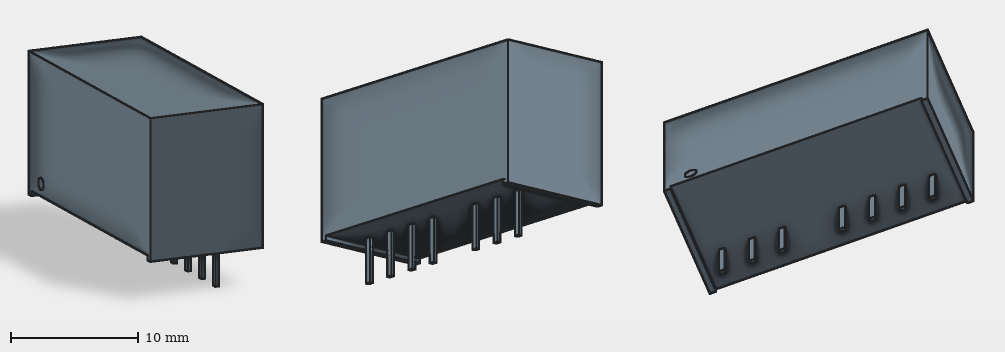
import cadquery as cq

LENGTH = 22.3
WIDTH = 9.8
HOUSING_HEIGHT = 11.7
FOOT_WIDTH = 0.54
FOOT_HEIGHT = 0.4

TOTAL_HEIGHT = 15.0
PIN_PITCH = 2.55
PIN_PLACES = 8
EMPTY_PLACE = 3
PIN_WIDTH = 0.5
PIN_THICKNESS = 0.3
PIN_ROW_Y = 1.87
PIN_DROP = TOTAL_HEIGHT - HOUSING_HEIGHT

MARKER_RADIUS = 0.5
MARKER_HEIGHT = 1.4
MARKER_DEPTH = 0.11

FIRST_PIN_X = -PIN_PITCH * (PIN_PLACES - 1) / 2


def make_marker():
    """Disc set into the front face, which is the plane y = -WIDTH / 2."""
    return (
        cq.Workplane("XZ", origin=(FIRST_PIN_X, -WIDTH / 2, MARKER_HEIGHT))
        .circle(MARKER_RADIUS)
        .extrude(-MARKER_DEPTH)
    )


def make_housing(marker):
    """Block with its feet at z = 0 and a recess that fits the marker."""
    block = cq.Workplane("XY").box(LENGTH, WIDTH, HOUSING_HEIGHT, centered=(True, True, False))
    gap_between_feet = cq.Workplane("XY").box(
        LENGTH - 2 * FOOT_WIDTH, WIDTH, FOOT_HEIGHT, centered=(True, True, False)
    )
    return block.cut(gap_between_feet).cut(marker)


def make_pin(x):
    """Flat pin hanging from the underside of the housing."""
    return (
        cq.Workplane("XY", origin=(x, PIN_ROW_Y, -PIN_DROP))
        .rect(PIN_WIDTH, PIN_THICKNESS)
        .extrude(PIN_DROP + FOOT_HEIGHT)
    )


marker = make_marker()
housing = make_housing(marker)
pins = [
    make_pin(FIRST_PIN_X + place * PIN_PITCH)
    for place in range(PIN_PLACES)
    if place != EMPTY_PLACE
]

result = cq.Compound.makeCompound([housing.val(), marker.val(), *[pin.val() for pin in pins]])